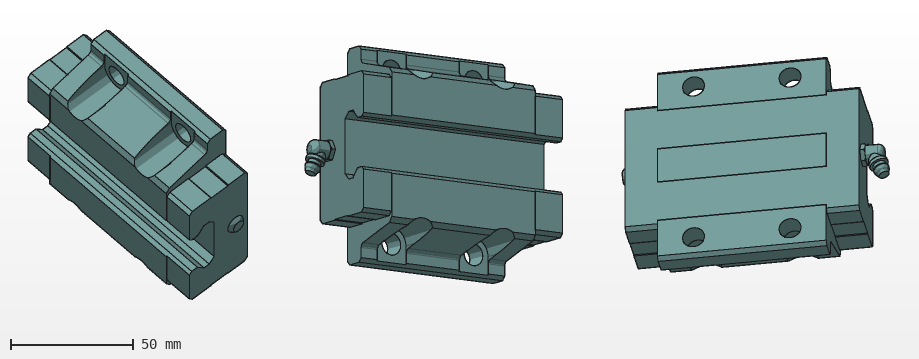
import cadquery as cq
import math


BODY_LENGTH = 70.0
BODY_WIDTH = 90.0
BODY_DEPTH = 33.0
FLANGE_DEPTH = 10.2
EDGE_CHAMFER = 1.7
SLOPE_TOP = 37.7
SLOPE_BOTTOM = 31.8
NOSE_CUT = 1.8
FLANK_FILLET = 1.9
RELIEF_DEPTH = 0.3
RELIEF_INNER = 7.9
RELIEF_OUTER = 26.2

LIP_HALF = 10.5
LIP_CHAMFER = 1.7
FLOOR_DEPTH = 19.0
FLOOR_HALF = 11.5
RACE_HALF = 14.1
RACE_DEPTH_IN = 21.7
RACE_DEPTH_OUT = 24.6
LIP_DEPTH = RACE_DEPTH_OUT + RACE_HALF - LIP_HALF

ASSEMBLY_LENGTH = 96.9
CAP_HALF_WIDTH = 29.4
CAP_SETBACK = 0.3
CAP_RECESS = 0.3
RECESS_START = 11.0
RECESS_END = 20.8

HOLE_DIAMETER = 9.0
HOLE_SPACING_X = 40.0
HOLE_SPACING_Z = 72.0
SEAT_WIDTH = 14.1
SEAT_DEPTH = 9.8

PORT_DEPTH = 7.2
HEX_FLATS = 8.0
HEX_LENGTH = 2.0
HEX_CORNER_CUT = 0.4
ELBOW_DIAMETER = 7.8
ELBOW_LENGTH = 9.6
ELBOW_FILLET = 2.4
NIPPLE_OFFSET = 5.0
NIPPLE_TILT = 22.5
STEM_DIAMETER = 7.0
COLLAR_DIAMETER = 8.0
NECK_DIAMETER = 5.5
HEAD_DIAMETER = 6.6
SHOULDER_DIAMETER = 5.5
TIP_DIAMETER = 4.4
COLLAR_START = 3.9
COLLAR_END = 5.7
COLLAR_BEVEL = 0.4
NECK_END = 7.2
HEAD_START = 7.8
HEAD_END = 8.2
SHOULDER = 9.8
TIP_END = 11.1
PLUG_DIAMETER = 9.0
PLUG_FLAT_DIAMETER = 5.5
PLUG_LENGTH = 1.9

HALF_WIDTH = BODY_WIDTH / 2
CAP_END = ASSEMBLY_LENGTH / 2
SIDES = (-1, 1)


def extrude_along_x(half_outline, length):
    """Mirror a half outline of (depth, half width) points about Z = 0 and extrude it, centred on X."""
    upper = [(-depth, z) for depth, z in half_outline]
    lower = [(y, -z) for y, z in reversed(upper)]
    return cq.Workplane("YZ").polyline(upper + lower).close().extrude(length / 2, both=True)


def block_along_x(length, depth_range, z_range):
    """Box centred on X that spans the given depths below the mounting face and the given Z range."""
    depth_start, depth_end = depth_range
    z_start, z_end = z_range
    return (
        cq.Workplane("XY")
        .box(length, depth_end - depth_start, z_end - z_start)
        .translate((0, -(depth_start + depth_end) / 2, (z_start + z_end) / 2))
    )


def make_body():
    flank_slope = (SLOPE_TOP - SLOPE_BOTTOM) / (BODY_DEPTH - FLANGE_DEPTH)
    half_outline = [
        (0, HALF_WIDTH - EDGE_CHAMFER),
        (EDGE_CHAMFER, HALF_WIDTH),
        (FLANGE_DEPTH - EDGE_CHAMFER, HALF_WIDTH),
        (FLANGE_DEPTH, HALF_WIDTH - EDGE_CHAMFER),
        (FLANGE_DEPTH, SLOPE_TOP),
        (BODY_DEPTH - NOSE_CUT, SLOPE_BOTTOM + flank_slope * NOSE_CUT),
        (BODY_DEPTH, SLOPE_BOTTOM - NOSE_CUT),
    ]
    body = extrude_along_x(half_outline, BODY_LENGTH)
    for side in SIDES:
        flank_corner = (0, -FLANGE_DEPTH, side * SLOPE_TOP)
        body = body.edges(cq.selectors.NearestToPointSelector(flank_corner)).fillet(FLANK_FILLET)
        relief_range = sorted((side * RELIEF_INNER, side * RELIEF_OUTER))
        body = body.cut(block_along_x(BODY_LENGTH, (0, RELIEF_DEPTH), relief_range))
    return body


def make_caps():
    """Two end caps, made as one bar with the stretch taken by the body cut out."""
    cap_back = CAP_SETBACK
    cap_front = BODY_DEPTH - CAP_SETBACK
    half_outline = [
        (cap_back, CAP_HALF_WIDTH - EDGE_CHAMFER),
        (cap_back + EDGE_CHAMFER, CAP_HALF_WIDTH),
        (RECESS_START, CAP_HALF_WIDTH),
        (RECESS_START + CAP_RECESS, CAP_HALF_WIDTH - CAP_RECESS),
        (RECESS_END - CAP_RECESS, CAP_HALF_WIDTH - CAP_RECESS),
        (RECESS_END, CAP_HALF_WIDTH),
        (cap_front - EDGE_CHAMFER, CAP_HALF_WIDTH),
        (cap_front, CAP_HALF_WIDTH - EDGE_CHAMFER),
    ]
    caps = extrude_along_x(half_outline, ASSEMBLY_LENGTH)
    return caps.cut(block_along_x(BODY_LENGTH, (0, BODY_DEPTH), (-HALF_WIDTH, HALF_WIDTH)))


def make_rail_channel():
    half_outline = [
        (FLOOR_DEPTH, FLOOR_HALF),
        (RACE_DEPTH_IN, RACE_HALF),
        (RACE_DEPTH_OUT, RACE_HALF),
        (LIP_DEPTH, LIP_HALF),
        (BODY_DEPTH - LIP_CHAMFER, LIP_HALF),
        (BODY_DEPTH, LIP_HALF + LIP_CHAMFER),
    ]
    return extrude_along_x(half_outline, ASSEMBLY_LENGTH)


def make_mounting_cuts():
    """Through holes along Y, each with a round-ended seat cut open toward the flange edge."""
    hole_points = [
        (x_side * HOLE_SPACING_X / 2, z_side * HOLE_SPACING_Z / 2) for x_side in SIDES for z_side in SIDES
    ]
    cuts = cq.Workplane("XZ").pushPoints(hole_points).circle(HOLE_DIAMETER / 2).extrude(BODY_DEPTH)
    seats = (
        cq.Workplane("XZ", origin=(0, -SEAT_DEPTH, 0))
        .pushPoints(hole_points)
        .circle(SEAT_WIDTH / 2)
        .extrude(BODY_DEPTH - SEAT_DEPTH)
    )
    cuts = cuts.union(seats)
    for x, z in hole_points:
        z_range = sorted((z, math.copysign(HALF_WIDTH, z)))
        opening = block_along_x(SEAT_WIDTH, (SEAT_DEPTH, BODY_DEPTH), z_range)
        cuts = cuts.union(opening.translate((x, 0, 0)))
    return cuts


def make_elbow():
    """Hexagon and round-nosed elbow on the -X cap; the hexagon has flats at +Z and -Z."""
    port_plane = cq.Plane(origin=(-CAP_END, -PORT_DEPTH, 0), xDir=(0, 1, 0), normal=(-1, 0, 0))
    hex_corners = HEX_FLATS / math.cos(math.pi / 6)
    corner_trim = (
        cq.Workplane(port_plane)
        .circle(hex_corners / 2)
        .extrude(HEX_LENGTH)
        .faces("<X")
        .chamfer(HEX_CORNER_CUT)
    )
    hexagon = cq.Workplane(port_plane).polygon(6, hex_corners).extrude(HEX_LENGTH).intersect(corner_trim)
    elbow = (
        cq.Workplane(port_plane)
        .circle(ELBOW_DIAMETER / 2)
        .extrude(ELBOW_LENGTH)
        .faces("<X")
        .edges()
        .fillet(ELBOW_FILLET)
    )
    return hexagon.union(elbow)


def make_nipple():
    """Revolved grease nipple that leaves the elbow downward, tilted away from the cap."""
    tilt = math.radians(NIPPLE_TILT)
    nipple_plane = cq.Plane(
        origin=(-CAP_END - NIPPLE_OFFSET, -PORT_DEPTH, 0),
        xDir=(math.cos(tilt), 0, -math.sin(tilt)),
        normal=(0, -1, 0),
    )
    stem_to_head = [
        (0, 0),
        (STEM_DIAMETER / 2, 0),
        (STEM_DIAMETER / 2, -COLLAR_START),
        (COLLAR_DIAMETER / 2, -COLLAR_START - COLLAR_BEVEL),
        (COLLAR_DIAMETER / 2, -COLLAR_END),
        (NECK_DIAMETER / 2, -COLLAR_END),
        (NECK_DIAMETER / 2, -NECK_END),
        (HEAD_DIAMETER / 2, -HEAD_START),
        (HEAD_DIAMETER / 2, -HEAD_END),
    ]
    half_outline = (
        cq.Workplane(nipple_plane)
        .polyline(stem_to_head)
        .tangentArcPoint((SHOULDER_DIAMETER / 2, -SHOULDER), relative=False)
        .lineTo(TIP_DIAMETER / 2, -TIP_END)
        .lineTo(0, -TIP_END)
        .close()
    )
    return half_outline.revolve(360, (0, 0), (0, 1))


def make_plug():
    """Spherical cap with a flat end on the +X cap."""
    sphere_radius = PLUG_DIAMETER / 2
    flat_radius = PLUG_FLAT_DIAMETER / 2
    flat_distance = math.sqrt(sphere_radius**2 - flat_radius**2)
    base_distance = flat_distance - PLUG_LENGTH
    base_radius = math.sqrt(sphere_radius**2 - base_distance**2)
    half_outline = (
        cq.Workplane("XY", origin=(CAP_END - base_distance, -PORT_DEPTH, 0))
        .moveTo(base_distance, 0)
        .lineTo(base_distance, base_radius)
        .radiusArc((flat_distance, flat_radius), sphere_radius)
        .lineTo(flat_distance, 0)
        .close()
    )
    return half_outline.revolve(360, (0, 0), (1, 0))


carriage = make_body().cut(make_mounting_cuts()).union(make_caps()).cut(make_rail_channel())
result = carriage.union(make_elbow()).union(make_nipple()).union(make_plug())